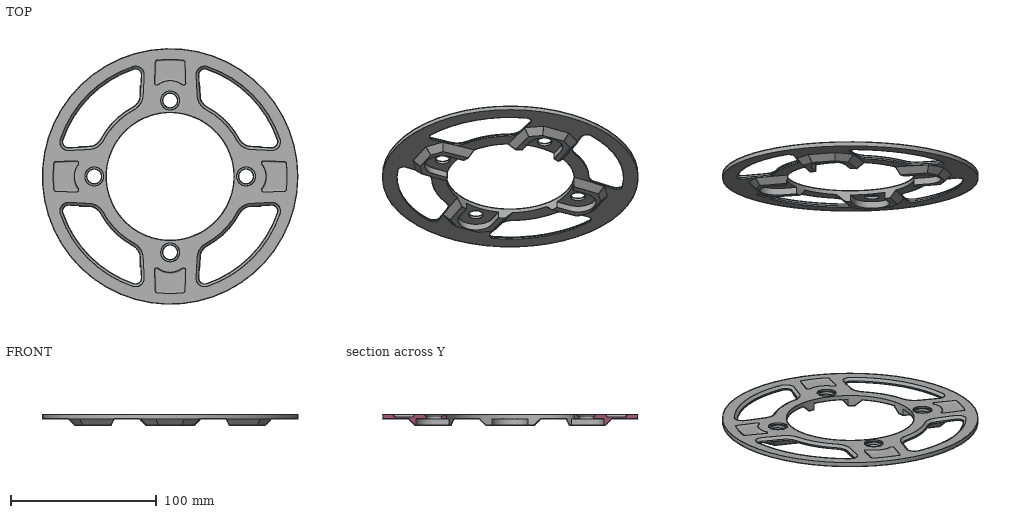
import cadquery as cq
import math

outer_radius = 87.5
bore_radius = 43.8
plate_thickness = 3.0
arm_count = 4

bolt_circle_radius = 52.0
bolt_hole_radius = 10.0 / 2
counterbore_radius = 13.0 / 2
counterbore_depth = 1.0

window_outer_radius = 77.5
window_inner_radius = 53.9
window_side_offset = 23.3
window_side_angle = 3.0
window_outer_fillet = 4.0
window_inner_fillet = 9.8
window_chamfer = 2.0

boss_height = 4.5
boss_draft = 45
boss_tip_radius = 69.6
boss_tip_half_width = 9.6
boss_shoulder_radius = 62.0
boss_shoulder_half_width = 20.5
boss_bore_half_width = 21.2
boss_trim_radius = 26.2
boss_recess_radius = 12.2

pocket_depth = 1.5
pocket_draft = 30
pocket_outer_radius = 80.2
pocket_outer_half_width = 10.2
pocket_inner_half_width = 10.8
pocket_arc_radius = 13.6
pocket_corner_fillet = 1.5
pocket_floor_fillet = 0.7


def around_ring(body):
    """Repeat a body made at the first position at every arm position."""
    copies = cq.Workplane("XY")
    for index in range(arm_count):
        copies = copies.add(body.rotate((0, 0, 0), (0, 0, 1), index * 360 / arm_count))
    return copies.combine()


def leg(hypotenuse, other_leg):
    """Remaining leg of a right triangle."""
    return math.sqrt(hypotenuse**2 - other_leg**2)


def window_cutter():
    """Straight-walled window between the +X and +Y arms, symmetric about the diagonal."""
    lean = math.radians(window_side_angle)

    def side_point(radius):
        angle = math.asin(window_side_offset / radius) - lean
        return radius * math.cos(angle), radius * math.sin(angle)

    def diagonal_point(radius):
        return radius / math.sqrt(2), radius / math.sqrt(2)

    inner_x, inner_y = side_point(window_inner_radius)
    outer_x, outer_y = side_point(window_outer_radius)
    blank = (
        cq.Workplane("XY")
        .moveTo(inner_x, inner_y)
        .lineTo(outer_x, outer_y)
        .threePointArc(diagonal_point(window_outer_radius), (outer_y, outer_x))
        .lineTo(inner_y, inner_x)
        .threePointArc(diagonal_point(window_inner_radius), (inner_x, inner_y))
        .close()
        .extrude(plate_thickness)
    )

    def on_circle(radius):
        return lambda edge: math.isclose(math.hypot(edge.Center().x, edge.Center().y), radius)

    rounded = blank.edges("|Z").filter(on_circle(window_outer_radius)).fillet(window_outer_fillet)
    return rounded.edges("|Z").filter(on_circle(window_inner_radius)).fillet(window_inner_fillet)


def boss():
    """Drafted boss under the +X arm; it reaches into the bore, which trims it later."""
    half_outline = [
        (boss_trim_radius, boss_bore_half_width),
        (leg(bore_radius, boss_bore_half_width), boss_bore_half_width),
        (boss_shoulder_radius, boss_shoulder_half_width),
        (boss_tip_radius, boss_tip_half_width),
    ]
    mirrored_half = [(x, -y) for x, y in reversed(half_outline)]
    body = (
        cq.Workplane("XY")
        .polyline(half_outline + mirrored_half)
        .close()
        .extrude(-boss_height, taper=boss_draft)
    )
    recess = (
        cq.Workplane("XY")
        .moveTo(boss_trim_radius, -boss_recess_radius)
        .lineTo(bolt_circle_radius, -boss_recess_radius)
        .threePointArc(
            (bolt_circle_radius + boss_recess_radius, 0),
            (bolt_circle_radius, boss_recess_radius),
        )
        .lineTo(boss_trim_radius, boss_recess_radius)
        .close()
        .extrude(-boss_height)
    )
    return body.cut(recess)


def bolt_hole_cutter():
    top = cq.Workplane("XY", origin=(bolt_circle_radius, 0, plate_thickness))
    counterbore = top.circle(counterbore_radius).extrude(-counterbore_depth)
    return top.circle(bolt_hole_radius).extrude(-plate_thickness).union(counterbore)


def pocket_cutter():
    """Drafted pocket on the +X arm, its inner edge curving around the bolt hole."""
    outer_x = leg(pocket_outer_radius, pocket_outer_half_width)
    inner_x = bolt_circle_radius + leg(pocket_arc_radius, pocket_inner_half_width)
    straight = (
        cq.Workplane("XY", origin=(0, 0, plate_thickness))
        .moveTo(inner_x, pocket_inner_half_width)
        .lineTo(outer_x, pocket_outer_half_width)
        .threePointArc((pocket_outer_radius, 0), (outer_x, -pocket_outer_half_width))
        .lineTo(inner_x, -pocket_inner_half_width)
        .threePointArc(
            (bolt_circle_radius + pocket_arc_radius, 0),
            (inner_x, pocket_inner_half_width),
        )
        .close()
        .extrude(-pocket_depth)
        .edges("|Z")
        .fillet(pocket_corner_fillet)
    )
    rim = straight.faces(">Z").wires().toPending()
    drafted = rim.extrude(-pocket_depth, combine=False, taper=pocket_draft)
    return drafted.faces("<Z").edges().fillet(pocket_floor_fillet)


def windowed_plate():
    """Disc with one window per gap between arms, every window chamfered at the top face."""
    disc = cq.Workplane("XY").circle(outer_radius).extrude(plate_thickness)
    disc = disc.cut(around_ring(window_cutter()))

    def is_window_edge(edge):
        return edge.Length() < math.pi * outer_radius

    return disc.faces(">Z").edges().filter(is_window_edge).chamfer(window_chamfer)


def bore_cutter():
    top = cq.Workplane("XY", origin=(0, 0, plate_thickness))
    return top.circle(bore_radius).extrude(-plate_thickness - boss_height)


result = (
    windowed_plate()
    .union(around_ring(boss()))
    .cut(bore_cutter())
    .cut(around_ring(bolt_hole_cutter()))
    .cut(around_ring(pocket_cutter()))
)